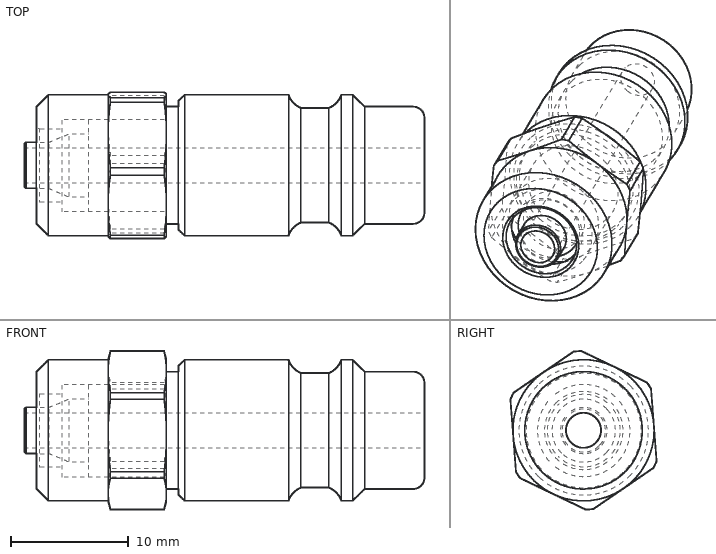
import cadquery as cq
import math

total_length = 34.0
outer_diameter = 12.0
outer_radius = outer_diameter / 2

nut_start = 1.02
nut_end = 12.07
nut_bore_diameter = 6.2
nut_mouth_diameter = 6.65
nut_mouth_depth = 0.25
nut_nose_chamfer = 1.02
nut_bore_depth = 2.15
nut_socket_diameter = 7.85
hex_start = 7.1
hex_across_flats = outer_diameter
hex_corner_diameter = 13.5
hex_turn = 4.4
hex_chamfer_angle = 15.0

bore_diameter = 2.95
barb_diameter = 3.95
barb_tip_chamfer = 0.15
barb_cone_start = 2.07
barb_crest_diameter = 5.37
barb_cone_length = 1.7

neck_diameter = 10.0
barrel_start = 13.1
barrel_end = 22.45
barrel_chamfer_length = 0.55
barrel_chamfer_depth = 0.5
groove_diameter = 9.75
groove_flank_length = 1.05
groove_flank_radius = 1.87
rib_start = 26.93
rib_end = 27.88
rib_cone_length = 1.02
plug_end_fillet = 1.0

nut_bore_end = nut_start + nut_bore_depth
plug_shoulder_start = 5.45
barb_cone_end = barb_cone_start + barb_cone_length


def revolve_about_axis(profile):
    """Revolve a closed (X, radius) profile about the X axis."""
    return profile.close().revolve(360, (0, 0, 0), (1, 0, 0))


def cylinder_along_x(diameter, start, end):
    return cq.Workplane("YZ", origin=(start, 0, 0)).circle(diameter / 2).extrude(end - start)


def make_hex():
    """Hexagon with its corners turned round and both ends chamfered by a cone."""
    length = nut_end - hex_start
    corner_radius = hex_corner_diameter / 2
    chamfer_length = (corner_radius - outer_radius) * math.tan(math.radians(hex_chamfer_angle))
    prism = (
        cq.Workplane("YZ", origin=(hex_start, 0, 0))
        .polygon(6, hex_across_flats / math.cos(math.pi / 6))
        .extrude(length)
        .rotate((0, 0, 0), (1, 0, 0), 90 + hex_turn)
    )
    turned_blank = revolve_about_axis(
        cq.Workplane("XY")
        .moveTo(hex_start, 0)
        .lineTo(hex_start, outer_radius)
        .lineTo(hex_start + chamfer_length, corner_radius)
        .lineTo(nut_end - chamfer_length, corner_radius)
        .lineTo(nut_end, outer_radius)
        .lineTo(nut_end, 0)
    )
    return prism.intersect(turned_blank)


def make_nut():
    sleeve = (
        cylinder_along_x(outer_diameter, nut_start, hex_start)
        .faces("<X")
        .chamfer(nut_nose_chamfer)
    )
    mouth = revolve_about_axis(
        cq.Workplane("XY")
        .moveTo(nut_start, 0)
        .lineTo(nut_start, nut_mouth_diameter / 2)
        .lineTo(nut_start + nut_mouth_depth, nut_bore_diameter / 2)
        .lineTo(nut_start + nut_mouth_depth, 0)
    )
    bore = cylinder_along_x(nut_bore_diameter, nut_start, nut_bore_end)
    socket = cylinder_along_x(nut_socket_diameter, nut_bore_end, nut_end)
    return sleeve.union(make_hex()).cut(bore).cut(socket).cut(mouth)


def make_plug():
    bore_radius = bore_diameter / 2
    barb_radius = barb_diameter / 2
    crest_radius = barb_crest_diameter / 2
    spigot_radius = nut_socket_diameter / 2
    neck_radius = neck_diameter / 2
    groove_radius = groove_diameter / 2
    body = revolve_about_axis(
        cq.Workplane("XY")
        .moveTo(0, bore_radius)
        .lineTo(0, barb_radius - barb_tip_chamfer)
        .lineTo(barb_tip_chamfer, barb_radius)
        .lineTo(barb_cone_start, barb_radius)
        .lineTo(barb_cone_end, crest_radius)
        .lineTo(plug_shoulder_start, crest_radius)
        .lineTo(plug_shoulder_start, spigot_radius)
        .lineTo(nut_end, spigot_radius)
        .lineTo(nut_end, neck_radius)
        .lineTo(barrel_start, neck_radius)
        .lineTo(barrel_start, outer_radius - barrel_chamfer_depth)
        .lineTo(barrel_start + barrel_chamfer_length, outer_radius)
        .lineTo(barrel_end, outer_radius)
        .radiusArc((barrel_end + groove_flank_length, groove_radius), -groove_flank_radius)
        .lineTo(rib_start - groove_flank_length, groove_radius)
        .radiusArc((rib_start, outer_radius), -groove_flank_radius)
        .lineTo(rib_end, outer_radius)
        .lineTo(rib_end + rib_cone_length, neck_radius)
        .lineTo(total_length, neck_radius)
        .lineTo(total_length, bore_radius)
    )
    return body.faces(">X").edges(cq.selectors.RadiusNthSelector(-1)).fillet(plug_end_fillet)


nut = make_nut()
plug = make_plug()

result = cq.Compound.makeCompound([nut.val(), plug.val()])